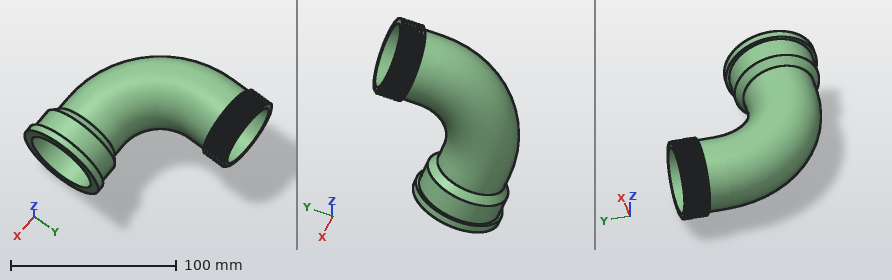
import cadquery as cq
import math


pipe_diameter = 44.0
bore_diameter = 40.5
bend_radius = 50.0
thread_leg_length = 78.0
socket_leg_length = 82.91

thread_length = 15.5
thread_major_diameter = 47.8
thread_minor_diameter = 44.84
thread_pitch = 25.4 / 11
thread_half_angle = math.radians(27.5)
ridge_root_overlap = 0.3
core_overrun_turns = 3

socket_diameter = 52.5
socket_bore_diameter = 45.16
collar_diameter = 56.5
collar_length = 5.0
socket_length = 19.0
cone_length = 5.0

socket_start = socket_leg_length - socket_length
cone_start = socket_start - cone_length
thread_start = thread_leg_length - thread_length


def bent_rod(diameter):
    """Round bar following the elbow axis from the cone to the threaded end."""
    path = (
        cq.Workplane("XY")
        .moveTo(socket_start, 0)
        .lineTo(bend_radius, 0)
        .radiusArc((0, bend_radius), bend_radius)
        .lineTo(0, thread_leg_length)
    )
    return cq.Workplane("YZ", origin=(socket_start, 0, 0)).circle(diameter / 2).sweep(path)


def disc_along_x(diameter, start, end):
    return cq.Workplane("YZ", origin=(start, 0, 0)).circle(diameter / 2).extrude(end - start)


def socket_body():
    """Cone, cylinder and end collar, turned about the X axis."""
    return (
        cq.Workplane("XY")
        .moveTo(cone_start, 0)
        .lineTo(cone_start, pipe_diameter / 2)
        .lineTo(socket_start, socket_diameter / 2)
        .lineTo(socket_leg_length - collar_length, socket_diameter / 2)
        .lineTo(socket_leg_length - collar_length, collar_diameter / 2)
        .lineTo(socket_leg_length, collar_diameter / 2)
        .lineTo(socket_leg_length, 0)
        .close()
        .revolve(360, (0, 0, 0), (1, 0, 0))
    )


def male_thread():
    """Threaded sleeve standing on Z = 0, then laid along +Y at the end of its leg."""
    core_radius = thread_minor_diameter / 2
    crest_radius = thread_major_diameter / 2
    root_radius = core_radius - ridge_root_overlap
    flank_run = (crest_radius - core_radius) * math.tan(thread_half_angle)
    half_crest = (thread_pitch - 2 * flank_run) / 4
    half_root = half_crest + (crest_radius - root_radius) * math.tan(thread_half_angle)

    helix = cq.Wire.makeHelix(thread_pitch, thread_length + 2 * thread_pitch, core_radius)
    ridge = (
        cq.Workplane("XZ")
        .moveTo(root_radius, -half_root)
        .lineTo(crest_radius, -half_crest)
        .lineTo(crest_radius, half_crest)
        .lineTo(root_radius, half_root)
        .close()
        .sweep(cq.Workplane(helix), isFrenet=True)
        .translate((0, 0, -thread_pitch))
    )
    overrun = core_overrun_turns * thread_pitch
    core = (
        cq.Workplane("XY", origin=(0, 0, -overrun))
        .circle(core_radius)
        .extrude(thread_length + 2 * overrun)
    )
    envelope = cq.Workplane("XY").circle(collar_diameter / 2).extrude(thread_length)
    sleeve = core.union(ridge, clean=False).intersect(envelope)
    return sleeve.rotate((0, 0, 0), (1, 0, 0), -90).translate((0, thread_start, 0))


outside = bent_rod(pipe_diameter).union(socket_body()).union(male_thread())
socket_bore = disc_along_x(socket_bore_diameter, socket_start, socket_leg_length)
result = outside.cut(bent_rod(bore_diameter)).cut(socket_bore)